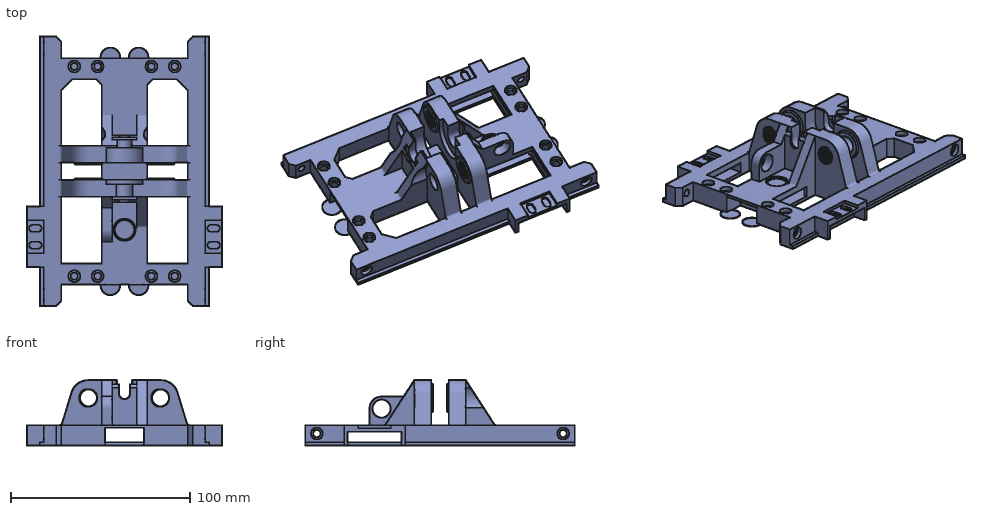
import cadquery as cq
import math

LENGTH_Y = 150.5
BLOCK_SPAN_X = 109.0
BASE_TOP = 11.5
TOTAL_HEIGHT = 36.7
FLOOR_TOP = 2.0

RAIL_OUTER_X = 45.0
RAIL_INNER_X = 35.2
RAIL_END_CHAMFER = 3.0
FLANGE_OUTER_X = 47.2
CROSSBAR_OUTER_Y = 63.2
CROSSBAR_INNER_Y = 51.3
STRIP_HALF_X = 12.7
OPENING_CHAMFER_OUTER = 6.0
OPENING_CHAMFER_INNER = 3.0

CHANNEL_HALF_X = 10.8
CHANNEL_TOP = 10.0
FLOOR_BEVEL = 0.5

BLOCK_MIN_Y = -53.5
BLOCK_MAX_Y = -19.5
BLOCK_FOOT = 2.0
WINDOW_TOP = 7.8
RECESS_LENGTH_Y = 18.2
RECESS_DEPTH = 1.7
SLOT_LENGTH = 7.0
SLOT_WIDTH = 3.8
SLOT_DEPTH = 1.2
SLOT_PITCH_Y = 9.4

SCREW_DIAMETER = 4.0
SCREW_HEAD_DIAMETER = 6.6
SCREW_HEAD_DEPTH = 2.5
CROSSBAR_SCREW_X = (15.0, 28.0)
CROSSBAR_SCREW_Y = 58.5
CROSSBAR_SCREW_DEPTH = 9.5
RAIL_SCREW_Y = 68.7
RAIL_SCREW_Z = 6.8

EAR_INNER_Y = 4.8
EAR_OUTER_Y = 14.3
EAR_HOLE_X = 20.1
EAR_CORNER_RADIUS = 10.0
EAR_HOLE_Z = TOTAL_HEIGHT - EAR_CORNER_RADIUS
EAR_HOLE_DIAMETER = 10.0
FOOT_FILLET = 1.5
FOOT_PAD = 1.5
BOSS_FACE_RADIUS = 7.5
BOSS_ROOT_RADIUS = 8.2
BOSS_HEIGHT = 1.0

THREAD_MINOR_RADIUS = 4.7
THREAD_DEPTH = 0.5
THREAD_PITCH = 1.5
THREAD_GROOVE_WIDTH = 1.0

SHAFT_Z = 29.0
SEAT_RADIUS = 10.2
REAR_SEAT_END_Y = 13.2
FRONT_SEAT_END_Y = -7.2
REAR_SLOT_RADIUS = 4.0
REAR_MOUTH_HALF_X = 4.4
REAR_MOUTH_DEPTH = 1.2
FRONT_SLOT_RADIUS = 4.5
PLATE_SLOT_RADIUS = 2.95

RIB_INNER_X = 6.95
RIB_FOOT_Y = 30.6
RIB_END_Y = RIB_FOOT_Y + FOOT_PAD
REAR_GAP_Y = (17.5, 19.0)
REAR_PLATE_END_Y = 20.2
FRONT_GAP_Y = (-15.8, -EAR_OUTER_Y)
FRONT_PLATE_END_Y = -17.1
BOLT_CLEARANCE_RADIUS = 9.3

LUG_Y = -32.6
LUG_Z = 20.7
LUG_RADIUS = 6.8
LUG_HOLE_DIAMETER = 10.0

POCKET_RIM_RADIUS = 6.2
POCKET_RADIUS = 5.4
POCKET_BEVEL = 0.5
POCKET_DEPTH = 1.2
DISC_RADIUS = 5.5
DISC_THICKNESS = 0.4
DISC_X = 7.9
DISC_Y = 63.6


def box(x_range, y_range, z_range):
    """Axis-aligned box between the given limits."""
    (x0, x1), (y0, y1), (z0, z1) = x_range, y_range, z_range
    return cq.Workplane("XY").box(x1 - x0, y1 - y0, z1 - z0, centered=False).translate((x0, y0, z0))


def prism_along_x(points, x0, x1):
    """Polygon of (y, z) points extruded from x0 to x1."""
    return cq.Workplane("YZ").polyline(points).close().extrude(x1 - x0).translate((x0, 0, 0))


def cylinder_along_y(radius, x, z, y0, y1):
    return cq.Workplane("XZ").center(x, z).circle(radius).extrude(y0 - y1).translate((0, y0, 0))


def u_slot(radius, y0, y1):
    """Open-topped slot along Y with a round bottom on the shaft axis."""
    groove = cylinder_along_y(radius, 0, SHAFT_Z, y0, y1)
    return groove.union(box((-radius, radius), (y0, y1), (SHAFT_Z, TOTAL_HEIGHT)))


def both_sides(shape):
    return shape.union(shape.mirror("YZ"))


def make_rail():
    """The +X rail with its foot flange."""
    half = LENGTH_Y / 2
    rail = box((RAIL_INNER_X, RAIL_OUTER_X), (-half, half), (0, BASE_TOP))
    rail = rail.edges("|Z and <X").chamfer(RAIL_END_CHAMFER)
    return rail.union(box((RAIL_OUTER_X, FLANGE_OUTER_X), (-half, half), (0, FLOOR_TOP)))


def make_side_block():
    """The +X side block: a plate carried by two feet, recessed on top."""
    block = box((RAIL_OUTER_X, BLOCK_SPAN_X / 2), (BLOCK_MIN_Y, BLOCK_MAX_Y), (0, BASE_TOP))
    bay_y = (BLOCK_MIN_Y + BLOCK_FOOT, BLOCK_MAX_Y - BLOCK_FOOT)
    block = block.cut(box((FLANGE_OUTER_X, BLOCK_SPAN_X / 2), bay_y, (0, WINDOW_TOP)))
    mid_x = (RAIL_OUTER_X + BLOCK_SPAN_X / 2) / 2
    mid_y = (BLOCK_MIN_Y + BLOCK_MAX_Y) / 2
    recess_floor = BASE_TOP - RECESS_DEPTH
    recess_y = (mid_y - RECESS_LENGTH_Y / 2, mid_y + RECESS_LENGTH_Y / 2)
    block = block.cut(box((RAIL_OUTER_X, BLOCK_SPAN_X / 2), recess_y, (recess_floor, BASE_TOP)))
    slots = (
        cq.Workplane("XY", origin=(mid_x, mid_y, recess_floor))
        .rarray(1, SLOT_PITCH_Y, 1, 2)
        .slot2D(SLOT_LENGTH, SLOT_WIDTH)
        .extrude(-SLOT_DEPTH)
    )
    return block.cut(slots)


def make_opening():
    """The +X opening between strip and rail, chamfered at its rear corners."""
    opening = box((STRIP_HALF_X, RAIL_INNER_X), (-CROSSBAR_INNER_Y, CROSSBAR_INNER_Y), (0, BASE_TOP))
    opening = opening.edges("|Z and >Y and >X").chamfer(OPENING_CHAMFER_OUTER)
    return opening.edges("|Z and >Y and <X").chamfer(OPENING_CHAMFER_INNER)


def make_frame():
    deck_y = (-CROSSBAR_OUTER_Y, CROSSBAR_OUTER_Y)
    deck = box((-RAIL_INNER_X, RAIL_INNER_X), deck_y, (0, BASE_TOP))
    frame = deck.cut(both_sides(make_opening()))
    for part in (make_rail(), make_side_block()):
        frame = frame.union(part).union(part.mirror("YZ"))
    return frame


def make_ear(inner_y, outer_y):
    """Ear across the frame with two rounded top corners and filleted feet on the rails."""
    reach_x = RAIL_INNER_X - EAR_HOLE_X
    drop_z = EAR_HOLE_Z - BASE_TOP
    tangent_angle = math.acos(EAR_CORNER_RADIUS / math.hypot(reach_x, drop_z)) - math.atan2(drop_z, reach_x)
    tangent_x = EAR_HOLE_X + EAR_CORNER_RADIUS * math.cos(tangent_angle)
    tangent_z = EAR_HOLE_Z + EAR_CORNER_RADIUS * math.sin(tangent_angle)
    middle_angle = (tangent_angle + math.pi / 2) / 2
    middle_x = EAR_HOLE_X + EAR_CORNER_RADIUS * math.cos(middle_angle)
    middle_z = EAR_HOLE_Z + EAR_CORNER_RADIUS * math.sin(middle_angle)
    half = (
        cq.Workplane("XZ")
        .moveTo(0, 0)
        .lineTo(RAIL_INNER_X + FOOT_PAD, 0)
        .lineTo(RAIL_INNER_X + FOOT_PAD, BASE_TOP)
        .lineTo(RAIL_INNER_X, BASE_TOP)
        .lineTo(tangent_x, tangent_z)
        .threePointArc((middle_x, middle_z), (EAR_HOLE_X, TOTAL_HEIGHT))
        .lineTo(0, TOTAL_HEIGHT)
        .close()
        .extrude(inner_y - outer_y)
        .translate((0, inner_y, 0))
    )
    foot = cq.NearestToPointSelector((RAIL_INNER_X, (inner_y + outer_y) / 2, BASE_TOP))
    return both_sides(half.edges("|Y").edges(foot).fillet(FOOT_FILLET))


def make_boss():
    """Raised conical ring on the inner face of the rear ear, around the +X hole."""
    taper = math.degrees(math.atan2(BOSS_ROOT_RADIUS - BOSS_FACE_RADIUS, BOSS_HEIGHT))
    face_center = (EAR_HOLE_X, EAR_INNER_Y, EAR_HOLE_Z)
    return cq.Workplane("XZ", origin=face_center).circle(BOSS_ROOT_RADIUS).extrude(BOSS_HEIGHT, taper=taper)


def make_rib_wedge(side):
    """Wedge against an ear across the strip width; side is +1 at the rear and -1 at the front."""
    pad_bottom = CHANNEL_TOP
    outline = [
        (side * EAR_OUTER_Y, pad_bottom),
        (side * EAR_OUTER_Y, TOTAL_HEIGHT),
        (side * RIB_FOOT_Y, BASE_TOP),
        (side * RIB_END_Y, BASE_TOP),
        (side * RIB_END_Y, pad_bottom),
    ]
    wedge = prism_along_x(outline, -STRIP_HALF_X, STRIP_HALF_X)
    foot = cq.NearestToPointSelector((0, side * RIB_FOOT_Y, BASE_TOP))
    return wedge.edges("|X").edges(foot).fillet(FOOT_FILLET)


def make_lug():
    """Rounded lug that extends the -X front rib forward."""
    lug_top = LUG_Z + LUG_RADIUS
    lug = box((-STRIP_HALF_X, -RIB_INNER_X), (LUG_Y - LUG_RADIUS, -EAR_OUTER_Y), (BASE_TOP, lug_top))
    return lug.edges("|X and <Y and >Z").fillet(LUG_RADIUS)


def make_rear_web():
    web = make_rib_wedge(1)
    between = (-RIB_INNER_X, RIB_INNER_X)
    above_base = (BASE_TOP, TOTAL_HEIGHT)
    web = web.cut(box(between, REAR_GAP_Y, above_base))
    web = web.cut(box(between, (REAR_PLATE_END_Y, RIB_END_Y), above_base))
    clearance = cylinder_along_y(BOLT_CLEARANCE_RADIUS, EAR_HOLE_X, EAR_HOLE_Z, EAR_OUTER_Y, RIB_END_Y)
    return web.cut(both_sides(clearance))


def make_front_web():
    web = make_rib_wedge(-1)
    between = (-RIB_INNER_X, RIB_INNER_X)
    above_base = (BASE_TOP, TOTAL_HEIGHT)
    web = web.cut(box(between, FRONT_GAP_Y, above_base))
    web = web.cut(box(between, (-RIB_END_Y, FRONT_PLATE_END_Y), above_base))
    return web.union(make_lug())


def make_rear_mouth():
    """Tapered mouth at the top of the rear shaft slot."""
    mouth_bottom = TOTAL_HEIGHT - REAR_MOUTH_DEPTH
    outline = [
        (-REAR_SLOT_RADIUS, mouth_bottom),
        (REAR_SLOT_RADIUS, mouth_bottom),
        (REAR_MOUTH_HALF_X, TOTAL_HEIGHT),
        (-REAR_MOUTH_HALF_X, TOTAL_HEIGHT),
    ]
    return cq.Workplane("XZ").polyline(outline).close().extrude(-REAR_GAP_Y[0])


def cut_cradle(body):
    """Bearing seats between the ears, shaft slots through the ears and the retaining plates."""
    body = body.cut(u_slot(SEAT_RADIUS, FRONT_SEAT_END_Y, REAR_SEAT_END_Y))
    body = body.cut(u_slot(REAR_SLOT_RADIUS, 0, REAR_GAP_Y[0])).cut(make_rear_mouth())
    body = body.cut(u_slot(FRONT_SLOT_RADIUS, -EAR_OUTER_Y, 0))
    return body.cut(u_slot(PLATE_SLOT_RADIUS, FRONT_PLATE_END_Y, REAR_PLATE_END_Y))


def make_threaded_core(start_y, end_y):
    """Material to remove for a threaded hole along Y: a round core with a helical V-ridge."""
    length = end_y - start_y
    overlap = 0.1
    root = THREAD_MINOR_RADIUS - overlap
    half_width = THREAD_GROOVE_WIDTH / 2
    profile = [(root, -half_width), (THREAD_MINOR_RADIUS + THREAD_DEPTH, 0), (root, half_width)]
    path = cq.Workplane(obj=cq.Wire.makeHelix(THREAD_PITCH, length + 2 * THREAD_PITCH, THREAD_MINOR_RADIUS))
    ridge = cq.Workplane("XZ").polyline(profile).close().sweep(path, isFrenet=True)
    stock = cq.Workplane("XY", origin=(0, 0, THREAD_PITCH)).circle(2 * THREAD_MINOR_RADIUS).extrude(length)
    drill = cq.Workplane("XY").circle(THREAD_MINOR_RADIUS).extrude(length + 2 * THREAD_PITCH)
    core = stock.cut(stock.cut(ridge).cut(drill))
    return core.rotate((0, 0, 0), (1, 0, 0), -90).translate((0, start_y - THREAD_PITCH, 0))


def cut_pivot_holes(body):
    """Plain holes in the rear ear, threaded holes in the front ear and the cross hole in the lug."""
    clearance = 0.5
    threaded_core = make_threaded_core(-EAR_OUTER_Y - clearance, BOSS_HEIGHT - EAR_INNER_Y + clearance)
    for x in (-EAR_HOLE_X, EAR_HOLE_X):
        body = body.cut(cylinder_along_y(EAR_HOLE_DIAMETER / 2, x, EAR_HOLE_Z, 0, EAR_OUTER_Y))
        body = body.cut(threaded_core.translate((x, 0, EAR_HOLE_Z)))
    lug_hole = cq.Workplane("YZ").center(LUG_Y, LUG_Z).circle(LUG_HOLE_DIAMETER / 2).extrude(-STRIP_HALF_X)
    return body.cut(lug_hole)


def make_channel():
    """Channel along Y: over the floor in the middle, down to the underside at the crossbars."""
    half = CROSSBAR_OUTER_Y
    outline = [
        (-half, 0),
        (-CROSSBAR_INNER_Y, 0),
        (FLOOR_BEVEL - CROSSBAR_INNER_Y, FLOOR_TOP),
        (CROSSBAR_INNER_Y - FLOOR_BEVEL, FLOOR_TOP),
        (CROSSBAR_INNER_Y, 0),
        (half, 0),
        (half, CHANNEL_TOP),
        (-half, CHANNEL_TOP),
    ]
    return prism_along_x(outline, -CHANNEL_HALF_X, CHANNEL_HALF_X)


def make_cross_window():
    """Window along X through both rails and the centre strip, under the side blocks."""
    window_y = (BLOCK_MIN_Y + BLOCK_FOOT, BLOCK_MAX_Y - BLOCK_FOOT)
    return box((-FLANGE_OUTER_X, FLANGE_OUTER_X), window_y, (FLOOR_TOP, WINDOW_TOP))


def make_crossbar_screws():
    """Counterbored blind screw holes in the top of both crossbars."""
    points = [(sx * x, sy * CROSSBAR_SCREW_Y) for x in CROSSBAR_SCREW_X for sx in (-1, 1) for sy in (-1, 1)]
    top = cq.Workplane("XY", origin=(0, 0, BASE_TOP)).pushPoints(points)
    heads = top.circle(SCREW_HEAD_DIAMETER / 2).extrude(-SCREW_HEAD_DEPTH)
    return heads.union(top.circle(SCREW_DIAMETER / 2).extrude(-CROSSBAR_SCREW_DEPTH))


def make_rail_screws():
    """Counterbored through holes at both ends of the +X rail, heads outside."""
    points = [(-RAIL_SCREW_Y, RAIL_SCREW_Z), (RAIL_SCREW_Y, RAIL_SCREW_Z)]
    outside = cq.Workplane("YZ", origin=(RAIL_OUTER_X, 0, 0)).pushPoints(points)
    heads = outside.circle(SCREW_HEAD_DIAMETER / 2).extrude(-SCREW_HEAD_DEPTH)
    return heads.union(outside.circle(SCREW_DIAMETER / 2).extrude(RAIL_INNER_X - RAIL_OUTER_X))


def make_pocket():
    """Shallow round pocket with a bevelled rim in the strip, beside the lug."""
    floor_z = BASE_TOP - POCKET_DEPTH
    return (
        cq.Workplane("XZ")
        .moveTo(0, BASE_TOP)
        .lineTo(POCKET_RIM_RADIUS, BASE_TOP)
        .lineTo(POCKET_RADIUS, BASE_TOP - POCKET_BEVEL)
        .lineTo(POCKET_RADIUS, floor_z)
        .lineTo(0, floor_z)
        .close()
        .revolve(360, (0, 0, 0), (0, 1, 0))
        .translate((0, LUG_Y, 0))
    )


def make_discs():
    """Thin foot discs at the corners of the channel mouths."""
    points = [(sx * DISC_X, sy * DISC_Y) for sx in (-1, 1) for sy in (-1, 1)]
    return cq.Workplane("XY").pushPoints(points).circle(DISC_RADIUS).extrude(DISC_THICKNESS)


body = make_frame()
body = body.union(make_ear(EAR_INNER_Y, EAR_OUTER_Y))
body = body.union(make_ear(-EAR_OUTER_Y, -EAR_INNER_Y))
rear_bosses = both_sides(make_boss())
body = body.union(rear_bosses).union(rear_bosses.mirror("XZ"))
body = body.union(make_rear_web()).union(make_front_web())
body = cut_pivot_holes(cut_cradle(body))
body = body.cut(make_channel()).cut(make_cross_window())
body = body.cut(make_crossbar_screws()).cut(both_sides(make_rail_screws()))
body = body.cut(make_pocket())
result = body.union(make_discs())